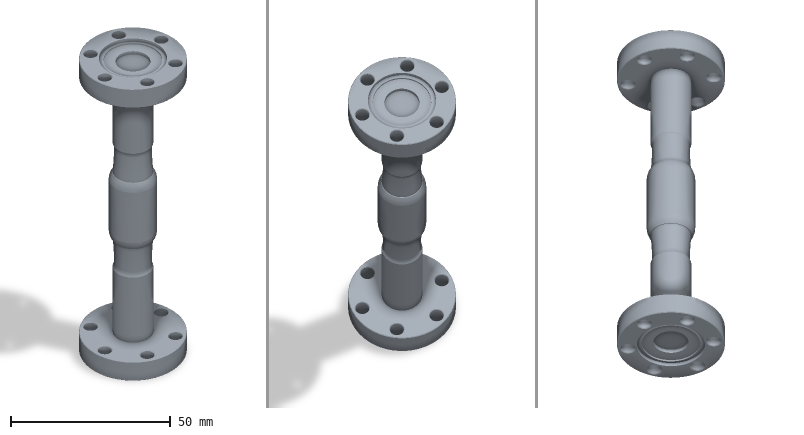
import cadquery as cq
import math

length = 111.8
half_length = length / 2

flange_radius = 33.8 / 2
flange_thickness = 7.3
flange_chamfer = 0.2
bolt_count = 6
bolt_hole_diameter = 4.4
hole_chamfer = 0.2
bolt_circle_radius = 13.5

recess_radius = 21.4 / 2
knife_radius = 18.3 / 2
bore_radius = 11.0 / 2
knife_depth = 0.7
recess_depth = 1.2
bore_depth = 2.5

tube_radius = 12.7 / 2
neck_radius = 5.9
neck_flare_radius = 6.4
shoulder_radius = 6.6
body_radius = 15.2 / 2
body_end = 9.6
shoulder_end = 12.6
neck_end = 22.0
tube_start = 23.7


def arc_middle(tangent_point, end_point):
    """Middle of the arc that leaves tangent_point parallel to Z and stops at end_point."""
    radial = end_point[0] - tangent_point[0]
    axial = end_point[1] - tangent_point[1]
    arc_radius = (radial**2 + axial**2) / (2 * abs(radial))
    half_angle = math.asin(abs(axial) / arc_radius) / 2
    middle_radial = math.copysign(arc_radius * (1 - math.cos(half_angle)), radial)
    middle_axial = math.copysign(arc_radius * math.sin(half_angle), axial)
    return (tangent_point[0] + middle_radial, tangent_point[1] + middle_axial)


def make_upper_end():
    """Revolve the (radius, height) profile from the top of the body to the outer flange face."""
    flange_back = half_length - flange_thickness
    body_top = (body_radius, body_end)
    shoulder_top = (shoulder_radius, shoulder_end)
    neck_bottom = (neck_flare_radius, shoulder_end)
    neck_top = (neck_radius, neck_end)
    tube_bottom = (tube_radius, tube_start)
    profile = (
        cq.Workplane("XZ")
        .moveTo(0, body_end)
        .lineTo(*body_top)
        .threePointArc(arc_middle(body_top, shoulder_top), shoulder_top)
        .lineTo(*neck_bottom)
        .threePointArc(arc_middle(neck_top, neck_bottom), neck_top)
        .threePointArc(arc_middle(neck_top, tube_bottom), tube_bottom)
        .lineTo(tube_radius, flange_back)
        .lineTo(flange_radius - flange_chamfer, flange_back)
        .lineTo(flange_radius, flange_back + flange_chamfer)
        .lineTo(flange_radius, half_length - flange_chamfer)
        .lineTo(flange_radius - flange_chamfer, half_length)
        .lineTo(recess_radius, half_length)
        .lineTo(recess_radius, half_length - recess_depth)
        .lineTo(knife_radius, half_length - knife_depth)
        .lineTo(knife_radius, half_length - recess_depth)
        .lineTo(bore_radius, half_length - recess_depth)
        .lineTo(bore_radius, half_length - bore_depth)
        .lineTo(0, half_length - bore_depth)
        .close()
    )
    return profile.revolve(360, (0, 0, 0), (0, 1, 0))


def make_body():
    """The plain cylinder centred on the mid-plane."""
    return cq.Workplane("XY").cylinder(2 * body_end, body_radius)


def make_bolt_holes():
    """Bolt holes through the upper flange, chamfered at both mouths."""
    hole_radius = bolt_hole_diameter / 2
    mouth_radius = hole_radius + hole_chamfer
    flange_back = half_length - flange_thickness
    hole = (
        cq.Workplane("XZ")
        .moveTo(0, flange_back)
        .lineTo(mouth_radius, flange_back)
        .lineTo(hole_radius, flange_back + hole_chamfer)
        .lineTo(hole_radius, half_length - hole_chamfer)
        .lineTo(mouth_radius, half_length)
        .lineTo(0, half_length)
        .close()
        .revolve(360, (0, 0, 0), (0, 1, 0))
        .val()
    )
    return (
        cq.Workplane("XY")
        .polarArray(bolt_circle_radius, 0, 360, bolt_count)
        .eachpoint(lambda place: hole.moved(place))
    )


upper_end = make_upper_end().cut(make_bolt_holes())
lower_end = upper_end.mirror("XY")
result = make_body().union(upper_end).union(lower_end)